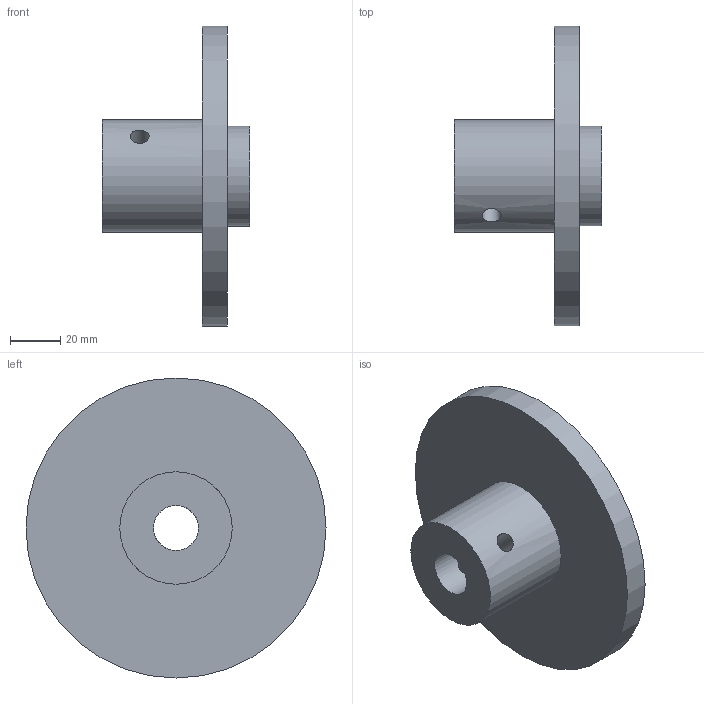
import cadquery as cq

hub_diameter = 45.0
hub_length = 40.0
flange_diameter = 120.0
flange_thickness = 10.0
spigot_diameter = 40.0
spigot_length = 9.0
bore_diameter = 18.0

cross_hole_diameter = 7.5
cross_hole_distance = 15.0
cross_hole_tilt = 45.0

flange_start = hub_length
spigot_start = flange_start + flange_thickness
total_length = spigot_start + spigot_length


def cylinder_along_x(diameter, start, length):
    """Cylinder centred on the X axis, running from start in +X."""
    return cq.Workplane("YZ").workplane(offset=start).circle(diameter / 2).extrude(length)


def cross_hole():
    """Cutter crossing the part axis and both walls of the hub."""
    upright_cutter = (
        cq.Workplane("XY")
        .center(cross_hole_distance, 0)
        .circle(cross_hole_diameter / 2)
        .extrude(hub_diameter, both=True)
    )
    return upright_cutter.rotate((0, 0, 0), (1, 0, 0), cross_hole_tilt)


hub = cylinder_along_x(hub_diameter, 0, hub_length)
flange = cylinder_along_x(flange_diameter, flange_start, flange_thickness)
spigot = cylinder_along_x(spigot_diameter, spigot_start, spigot_length)
bore = cylinder_along_x(bore_diameter, 0, total_length)

result = hub.union(flange).union(spigot).cut(bore).cut(cross_hole())